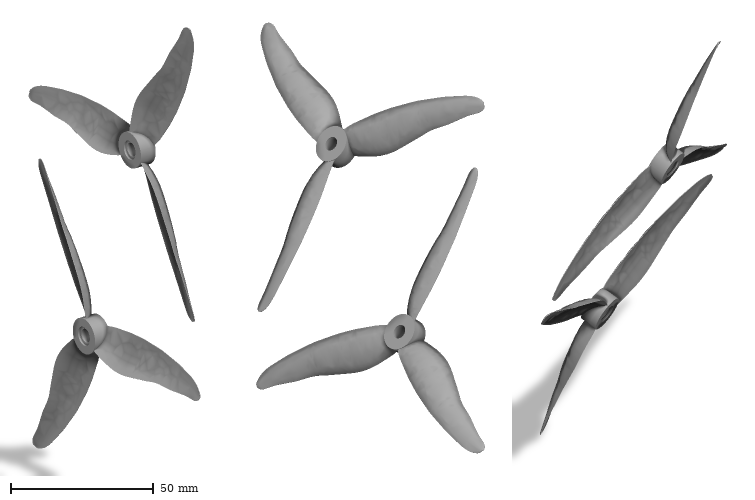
import cadquery as cq


hub_diameter = 13.3
hub_length = 6.5
bore_diameter = 5.0
counterbore_diameter = 7.0
counterbore_depth = 0.8

blade_count = 3
edge_thickness = 0.2

blade_sections = [
    (3.5, 3.7, 5.5, -2.7, 0.8, 0.4, 1.0),
    (8.8, 4.9, 6.5, -5.0, 0.2, 1.2, 1.8),
    (14.7, 5.7, 6.7, -6.7, 0.2, 2.0, 1.8),
    (20.8, 6.3, 6.7, -7.2, 0.2, 2.4, 1.5),
    (27.8, 6.5, 6.7, -6.5, 0.8, 2.2, 1.5),
    (35.3, 6.3, 6.5, -5.3, 1.5, 1.8, 1.4),
    (43.0, 5.7, 6.0, -4.3, 2.2, 1.2, 1.2),
    (52.9, 4.1, 5.3, -4.0, 2.5, 0.5, 1.0),
    (59.7, 2.5, 4.3, -3.7, 2.7, 0.2, 0.8),
    (62.7, 1.0, 3.7, -3.5, 2.7, 0.2, 0.5),
    (64.2, -0.8, 3.3, -2.4, 3.0, 0.2, 0.4),
]

hub_offset_x = 16.3
hub_offset_z = 42.0
upper_front_y = -5.9
lower_front_y = -2.0


def section_wire(radius, lead_z, lead_y, trail_z, trail_y, camber, thickness):
    """Cambered blade section, bulging toward +Y, in the plane X = radius."""
    mid_z = (lead_z + trail_z) / 2
    mid_y = (lead_y + trail_y) / 2 + camber
    return (
        cq.Workplane("YZ", origin=(radius, 0, 0))
        .moveTo(trail_y, trail_z)
        .threePointArc((mid_y, mid_z), (lead_y, lead_z))
        .lineTo(lead_y + edge_thickness, lead_z)
        .threePointArc((mid_y + thickness, mid_z), (trail_y + edge_thickness, trail_z))
        .close()
        .val()
    )


def make_blade():
    """Twisted blade lofted through its sections along +X."""
    wires = [section_wire(*section) for section in blade_sections]
    return cq.Workplane(cq.Solid.makeLoft(wires))


def hub_cylinder(diameter, length):
    """Cylinder on the hub axis that starts at the hub front."""
    return cq.Workplane("XZ").circle(diameter / 2).extrude(-length)


def make_propeller():
    """Hub and blades in one solid, with the hub front at Y = 0."""
    propeller = hub_cylinder(hub_diameter, hub_length)
    blade = make_blade()
    for index in range(blade_count):
        angle = index * 360 / blade_count
        propeller = propeller.union(blade.rotate((0, 0, 0), (0, 1, 0), angle))
    propeller = propeller.cut(hub_cylinder(bore_diameter, hub_length))
    return propeller.cut(hub_cylinder(counterbore_diameter, counterbore_depth))


propeller = make_propeller()
lower_propeller = propeller.translate((-hub_offset_x, lower_front_y, -hub_offset_z))
upper_propeller = propeller.mirror("YZ").translate((hub_offset_x, upper_front_y, hub_offset_z))

result = cq.Compound.makeCompound([upper_propeller.solids().val(), lower_propeller.solids().val()])